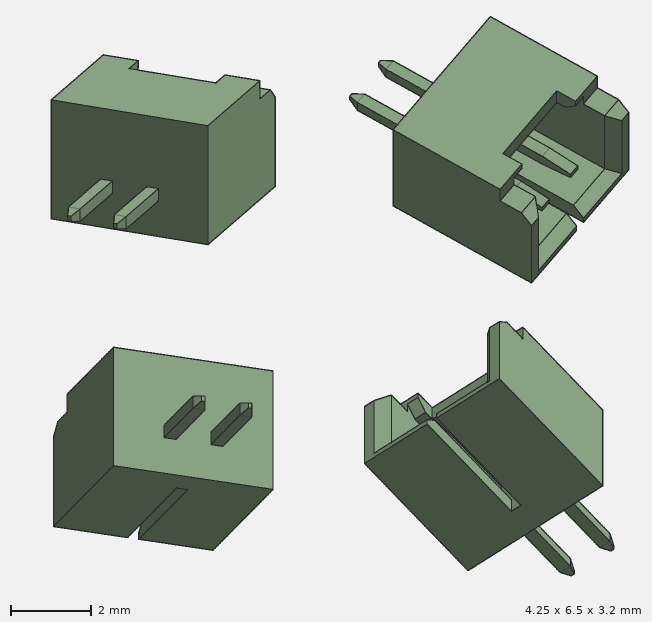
import cadquery as cq

total_length = 6.5
width = 4.25
height = 3.2
body_length = 4.185
wall = 0.49
side_wall = 0.61
back_wall = 0.78
lead_in = 0.305
rim_setback = 0.95
notch_setback = 1.52
notch_width = 2.35
floor_slot_width = 0.3

pitch = 1.25
pin_width = 0.32
pin_height = 0.33
pin_z = 1.125
tail_tip_length = 0.305
tail_tip_width = 0.1
tail_tip_height = 0.135
contact_setback = 0.61
contact_taper = 0.85
contact_tip_height = 0.135

mouth_y = body_length
rim_y = mouth_y - rim_setback
notch_y = mouth_y - notch_setback
ceiling_z = height - wall
cavity_width = width - 2 * side_wall
cavity_height = ceiling_z - wall
cavity_z = wall + cavity_height / 2
tail_length = total_length - body_length
contact_y = mouth_y - contact_setback


def block(size_x, y_start, y_end, z_start, z_end):
    """Box centred on X = 0 between the given Y and Z limits."""
    size = (size_x, y_end - y_start, z_end - z_start)
    return cq.Workplane("XY").box(*size, centered=(True, False, False)).translate((0, y_start, z_start))


def taper(x, z, y_start, start_size, y_end, end_size):
    """Rectangular frustum along Y; each size is (width, height)."""
    start_plane = cq.Plane(origin=(x, y_start, z), xDir=(1, 0, 0), normal=(0, -1, 0))
    return (
        cq.Workplane(start_plane)
        .rect(*start_size)
        .workplane(offset=y_start - y_end)
        .rect(*end_size)
        .loft(ruled=True)
    )


def profile_cut(points):
    """Prism of a YZ outline spanning the full housing width."""
    return cq.Workplane("YZ").polyline(points).close().extrude(width / 2, both=True)


def make_housing():
    housing = block(width, 0, body_length, 0, height)

    housing = housing.cut(block(cavity_width, back_wall, mouth_y, wall, ceiling_z))
    inner_size = (cavity_width, cavity_height)
    mouth_size = (cavity_width + 2 * lead_in, cavity_height + 2 * lead_in)
    housing = housing.cut(taper(0, cavity_z, mouth_y - lead_in, inner_size, mouth_y, mouth_size))

    housing = housing.cut(profile_cut([
        (rim_y, height),
        (rim_y, ceiling_z),
        (mouth_y - lead_in, ceiling_z),
        (mouth_y, ceiling_z - lead_in),
        (mouth_y, height),
    ]))

    roof_bevel = profile_cut([
        (rim_y - lead_in, ceiling_z),
        (rim_y, ceiling_z),
        (rim_y, ceiling_z + lead_in),
    ])
    housing = housing.cut(roof_bevel.intersect(block(cavity_width, 0, body_length, 0, height)))

    housing = housing.cut(block(notch_width, notch_y, mouth_y, ceiling_z, height))
    return housing.cut(block(floor_slot_width, back_wall, mouth_y, 0, wall))


def make_pin(x):
    full_size = (pin_width, pin_height)
    tail_tip_size = (tail_tip_width, tail_tip_height)
    contact_tip_size = (pin_width, contact_tip_height)
    shank_start = tail_tip_length - tail_length
    shank_end = contact_y - contact_taper
    shank = block(
        pin_width, shank_start, shank_end, pin_z - pin_height / 2, pin_z + pin_height / 2
    ).translate((x, 0, 0))
    tail_tip = taper(x, pin_z, shank_start, full_size, -tail_length, tail_tip_size)
    contact_tip = taper(x, pin_z, shank_end, full_size, contact_y, contact_tip_size)
    return shank.union(tail_tip).union(contact_tip)


result = make_housing()
for pin_x in (-pitch / 2, pitch / 2):
    result = result.union(make_pin(pin_x))